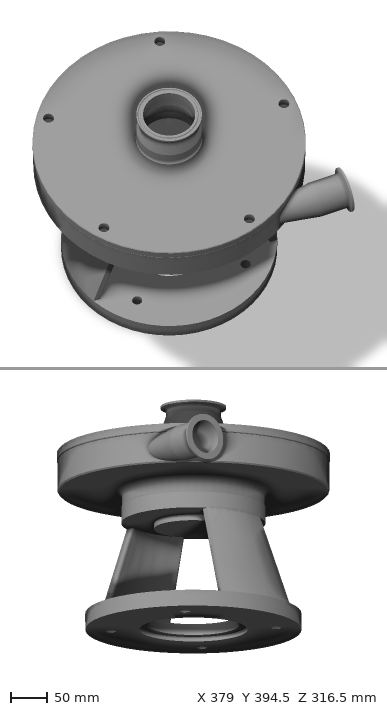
import cadquery as cq
import math


base_radius = 150.0
base_thickness = 22.5
base_bore_radius = 63.0
base_bore_round = 3.0
motor_register_radius = 75.0
motor_register_depth = 6.5
base_hole_diameter = 14.0
base_hole_circle_radius = 115.0
base_hole_count = 4

ring_radius = 100.0
ring_thickness = 22.5
ring_bottom = 151.0
ring_top = ring_bottom + ring_thickness

leg_foot_radius = base_radius
leg_wall = 12.0
leg_foot_half_width = 59.5
leg_head_half_width = 47.3
leg_inner_round = 3.0

hub_radius = 54.5
hub_bottom = ring_bottom - 8.0
neck_radius = 98.8
neck_flare = 10.0

casing_radius = 188.5
casing_bottom = 195.7
casing_top = 239.0
casing_bottom_chamfer = 2.0
edge_chamfer = 1.0

cover_radius = 189.5
cover_thickness = 12.0
cover_top = casing_top + cover_thickness
bolt_hole_diameter = 15.0
bolt_hole_circle_radius = 172.0
bolt_hole_count = 5

overall_height = 316.5
inlet_foot_radius = 46.5
inlet_foot_flare = 10.0
inlet_foot_top = 262.3
groove_radius = 42.5
groove_bottom = 265.3
groove_top = 266.6
inlet_large_bottom = 269.2
inlet_large_radius = 45.5
inlet_large_top = 282.6
inlet_small_radius = 38.1
inlet_small_bottom = 302.2
tube_wall = 1.9
inlet_bore_taper_bottom = 266.0
inlet_bore_taper_top = 287.6
inlet_flange_radius = 45.5
gasket_groove_radius = 41.8
gasket_groove_half_width = 1.9
gasket_groove_depth = 1.5

flange_rim = 3.0
flange_neck_length = 6.5
flange_root_chamfer = 1.5

outlet_x = 145.3
outlet_z = (casing_bottom + casing_top) / 2
outlet_end = 205.0
outlet_radius = 25.0
outlet_flange_radius = 32.0
outlet_taper_start = 159.0
outlet_taper_end = 100.0
outlet_taper_end_radius = 16.2
outlet_bore_end = 120.0


def disc(radius, bottom, top):
    """Upright cylinder on the pump axis."""
    return cq.Workplane("XY").workplane(offset=bottom).circle(radius).extrude(top - bottom)


def hole_ring(count, circle_radius, diameter, start_angle, bottom, top):
    """Equally spaced upright drills around the pump axis."""
    return (
        cq.Workplane("XY")
        .workplane(offset=bottom)
        .polarArray(circle_radius, start_angle, 360, count)
        .circle(diameter / 2)
        .extrude(top - bottom)
    )


def revolve_z(profile):
    """Full turn about Z of a closed profile drawn in the XZ plane."""
    return profile.close().revolve(360, (0, 0, 0), (0, 1, 0))


def make_base():
    base = disc(base_radius, 0, base_thickness).cut(disc(base_bore_radius, 0, base_thickness))
    base = base.cut(disc(motor_register_radius, 0, motor_register_depth))
    base = base.edges(cq.selectors.RadiusNthSelector(0)).edges(">Z").fillet(base_bore_round)
    holes = hole_ring(base_hole_count, base_hole_circle_radius, base_hole_diameter, 45, 0, base_thickness)
    return base.cut(holes)


def make_legs():
    """Two opposite strips of one conical wall, narrowing upwards, on the +Y and -Y sides."""
    cone_wall = revolve_z(
        cq.Workplane("XZ")
        .moveTo(leg_foot_radius - leg_wall, base_thickness)
        .lineTo(leg_foot_radius, base_thickness)
        .lineTo(ring_radius, ring_bottom)
        .lineTo(ring_radius - leg_wall, ring_bottom)
    )
    strip = (
        cq.Workplane("XZ")
        .moveTo(-leg_foot_half_width, base_thickness)
        .lineTo(leg_foot_half_width, base_thickness)
        .lineTo(leg_head_half_width, ring_bottom)
        .lineTo(-leg_head_half_width, ring_bottom)
        .close()
        .extrude(base_radius)
    )
    leg = cone_wall.intersect(strip)
    mid_height = (base_thickness + ring_bottom) / 2
    mid_half_width = (leg_foot_half_width + leg_head_half_width) / 2
    mid_inner_radius = (leg_foot_radius + ring_radius) / 2 - leg_wall
    mid_inner_y = -math.sqrt(mid_inner_radius**2 - mid_half_width**2)
    for side in (-1, 1):
        corner = (side * mid_half_width, mid_inner_y, mid_height)
        leg = leg.edges(cq.selectors.NearestToPointSelector(corner)).fillet(leg_inner_round)
    return leg.union(leg.mirror("XZ"))


def make_stand():
    ring = disc(ring_radius, ring_bottom, ring_top).cut(disc(hub_radius, ring_bottom, ring_top))
    return make_base().union(make_legs()).union(ring)


def make_casing():
    casing = disc(casing_radius, casing_bottom, casing_top)
    casing = casing.faces("<Z").chamfer(casing_bottom_chamfer).faces(">Z").chamfer(edge_chamfer)
    flare_turn = neck_flare * (1 - math.sqrt(0.5))
    neck = revolve_z(
        cq.Workplane("XZ")
        .moveTo(0, ring_top)
        .lineTo(neck_radius, ring_top)
        .lineTo(neck_radius, casing_bottom - neck_flare)
        .threePointArc(
            (neck_radius + flare_turn, casing_bottom - flare_turn),
            (neck_radius + neck_flare, casing_bottom),
        )
        .lineTo(0, casing_bottom)
    )
    return casing.union(neck).union(disc(hub_radius, hub_bottom, ring_top))


def make_cover():
    cover = disc(cover_radius, casing_top, cover_top).edges().chamfer(edge_chamfer)
    holes = hole_ring(
        bolt_hole_count, bolt_hole_circle_radius, bolt_hole_diameter, 90, casing_top, cover_top
    )
    return cover.cut(holes)


def make_inlet():
    """Flared foot, weld groove, reducer and clamp flange around a blind bore."""
    rim_bottom = overall_height - flange_rim
    flange_bottom = overall_height - flange_neck_length
    flare_turn = inlet_foot_flare * (1 - math.sqrt(0.5))
    outside = revolve_z(
        cq.Workplane("XZ")
        .moveTo(0, cover_top)
        .lineTo(inlet_foot_radius + inlet_foot_flare, cover_top)
        .threePointArc(
            (inlet_foot_radius + flare_turn, cover_top + flare_turn),
            (inlet_foot_radius, cover_top + inlet_foot_flare),
        )
        .lineTo(inlet_foot_radius, inlet_foot_top)
        .lineTo(groove_radius, groove_bottom)
        .lineTo(groove_radius, groove_top)
        .lineTo(inlet_large_radius, inlet_large_bottom)
        .lineTo(inlet_large_radius, inlet_large_top)
        .lineTo(inlet_small_radius, inlet_small_bottom)
        .lineTo(inlet_small_radius, flange_bottom)
        .lineTo(inlet_small_radius + flange_root_chamfer, flange_bottom + flange_root_chamfer)
        .lineTo(inlet_flange_radius, rim_bottom)
        .lineTo(inlet_flange_radius, overall_height)
        .lineTo(0, overall_height)
    )
    bore = revolve_z(
        cq.Workplane("XZ")
        .moveTo(0, cover_top)
        .lineTo(groove_radius - tube_wall, cover_top)
        .lineTo(groove_radius - tube_wall, inlet_bore_taper_bottom)
        .lineTo(inlet_small_radius - tube_wall, inlet_bore_taper_top)
        .lineTo(inlet_small_radius - tube_wall, overall_height)
        .lineTo(0, overall_height)
    )
    gasket_groove = revolve_z(
        cq.Workplane("XZ")
        .moveTo(gasket_groove_radius - gasket_groove_half_width, overall_height)
        .threePointArc(
            (gasket_groove_radius, overall_height - gasket_groove_depth),
            (gasket_groove_radius + gasket_groove_half_width, overall_height),
        )
    )
    return outside, bore.union(gasket_groove)


def make_outlet():
    """Tapered branch with clamp flange along +Y, and its blind bore."""
    taper_slope = (outlet_radius - outlet_taper_end_radius) / (outlet_taper_start - outlet_taper_end)
    flange_bottom = outlet_end - flange_neck_length
    bore_end_radius = outlet_radius - taper_slope * (outlet_taper_start - outlet_bore_end) - tube_wall

    def revolve_branch(points):
        turned = cq.Workplane("XY").polyline(points).close().revolve(360, (0, 0, 0), (0, 1, 0))
        return turned.translate((outlet_x, 0, outlet_z))

    outside = revolve_branch([
        (0, outlet_taper_end),
        (outlet_taper_end_radius, outlet_taper_end),
        (outlet_radius, outlet_taper_start),
        (outlet_radius, flange_bottom),
        (outlet_radius + flange_root_chamfer, flange_bottom + flange_root_chamfer),
        (outlet_flange_radius, outlet_end - flange_rim),
        (outlet_flange_radius, outlet_end),
        (0, outlet_end),
    ])
    bore = revolve_branch([
        (0, outlet_bore_end),
        (bore_end_radius, outlet_bore_end),
        (outlet_radius - tube_wall, outlet_taper_start),
        (outlet_radius - tube_wall, outlet_end),
        (0, outlet_end),
    ])
    return outside, bore


def make_pump():
    inlet, inlet_bore = make_inlet()
    outlet, outlet_bore = make_outlet()
    body = make_casing().union(make_cover()).union(inlet).union(outlet)
    return body.cut(inlet_bore).cut(outlet_bore)


stand = make_stand()
pump = make_pump()
result = cq.Compound.makeCompound([stand.val(), pump.val()])